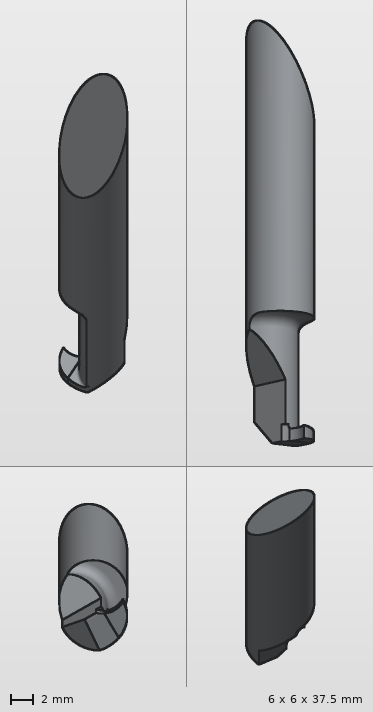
import cadquery as cq
import math

length = 37.45
shank_radius = 3
tail_angle = 60
margin = 1.87

neck_offset = 2.1
neck_radius = 3.07
neck_allowance = 0.37
pocket_top = 11.25
pocket_fillet = 1.0
root_fillet = 0.22

flat_y = 0.3
flat_top = 5.55
runout_angle = 30

head_height = 1.2
clearance_angle = 5
dish_angle = 1.5
nose_chamfer = 2.35
rim_radius = 2.8
rim_corner_x = -1.05
flank_middle = (0, -2.9)
flank_end_x = 1.1
scoop_height = 1.57
scoop_deepest = (-1.8, -0.3)
scoop_end = (-0.45, flat_y)

reach = shank_radius + margin
clearance_drop = reach * math.tan(math.radians(clearance_angle))


def prism_along_x(points):
    """Extrude a (y, z) outline across the whole width of the bar."""
    return cq.Workplane("YZ").polyline(points).close().extrude(reach, both=True)


def shank():
    bar = cq.Workplane("XY").circle(shank_radius).extrude(length)
    tail_drop = reach + shank_radius
    tail = prism_along_x([
        (shank_radius, length),
        (shank_radius - tail_drop, length - tail_drop * math.tan(math.radians(tail_angle))),
        (shank_radius - tail_drop, length + margin),
        (shank_radius, length + margin),
    ])
    return bar.cut(tail)


def pocket():
    """Space around the neck, with a floor sloping down toward -Y."""
    space = prism_along_x([
        (-reach, head_height - clearance_drop),
        (reach, head_height + clearance_drop),
        (reach, pocket_top),
        (-reach, pocket_top),
    ])
    neck = (
        cq.Workplane("XY").center(neck_offset, 0)
        .circle(neck_radius).extrude(pocket_top + margin)
    )
    space = space.cut(neck)
    around_neck = neck_radius + neck_allowance
    inner_edge = cq.selectors.BoxSelector(
        (neck_offset - around_neck, -around_neck, 0),
        (neck_offset + around_neck, around_neck, length),
        boundingbox=True,
    )
    ceiling_edge = space.faces(">Z").edges(inner_edge)
    space = ceiling_edge.fillet(pocket_fillet)
    return space.faces("<Z").edges(inner_edge).fillet(root_fillet)


def back_relief():
    runout = reach - flat_y
    return prism_along_x([
        (flat_y, -margin),
        (flat_y, flat_top),
        (reach, flat_top + runout / math.tan(math.radians(runout_angle))),
        (reach, -margin),
    ])


def bottom_clearance():
    """Space below the head, touching it only at the cutting corner."""
    wedge = prism_along_x([
        (reach, 0),
        (0, 0),
        (-reach, clearance_drop),
        (-reach, -margin),
        (reach, -margin),
    ])
    return wedge.rotate((-shank_radius, 0, 0), (-shank_radius, 1, 0), -dish_angle)


def nose_cut():
    return (
        cq.Workplane("XZ")
        .polyline([
            (shank_radius - nose_chamfer - margin, -margin),
            (reach, nose_chamfer + margin),
            (reach, -margin),
        ])
        .close().extrude(reach, both=True)
    )


def rim_relief():
    """Space outside the round rim and the flatter flank behind it."""
    rim_center_x = rim_radius - shank_radius
    corner_y = -math.sqrt(rim_radius**2 - (rim_corner_x - rim_center_x) ** 2)
    flank_end_y = -math.sqrt(shank_radius**2 - flank_end_x**2)
    diagonal = rim_radius * math.sqrt(0.5)
    return (
        cq.Workplane("XY")
        .moveTo(-shank_radius, 0)
        .threePointArc((rim_center_x - diagonal, -diagonal), (rim_corner_x, corner_y))
        .threePointArc(flank_middle, (flank_end_x, flank_end_y))
        .lineTo(flank_end_x, -reach)
        .lineTo(-reach, -reach)
        .lineTo(-reach, 0)
        .close().extrude(head_height)
    )


def chip_scoop():
    """Concave rake face running from the cutting edge up into the neck."""
    return (
        cq.Workplane("XY")
        .moveTo(-shank_radius, 0)
        .threePointArc(scoop_deepest, scoop_end)
        .lineTo(scoop_end[0], reach)
        .lineTo(-reach, reach)
        .lineTo(-reach, 0)
        .close().extrude(scoop_height)
    )


tool = (
    shank()
    .cut(pocket())
    .cut(back_relief())
    .cut(bottom_clearance())
    .cut(nose_cut())
    .cut(rim_relief())
    .cut(chip_scoop())
)

tip_space = cq.Workplane("XY").box(
    reach + rim_corner_x, 2 * reach, scoop_height, centered=(False, True, False)
).translate((-reach, 0, 0))
cutting_tip = tool.intersect(tip_space)
holder = tool.cut(tip_space)

result = cq.Compound.makeCompound([holder.val(), cutting_tip.val()])